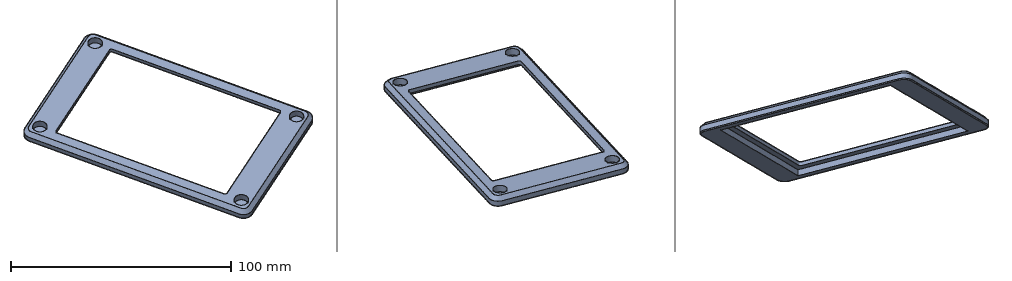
import cadquery as cq

length = 115.0
width = 70.0
thickness = 5.0
corner_radius = 4.5
top_chamfer = 2.0
bottom_chamfer = 0.5

window_length = 86.5
window_width = 57.0
window_corner_radius = 1.0

lip_thickness = 2.0
lip_overhang = 3.1

recess_diameter = 6.5
recess_depth = 3.5
recess_edge_distance = 6.5


def rounded_plate():
    """Plate with rounded corners and chamfered top and bottom rims."""
    plate = cq.Workplane("XY").box(length, width, thickness, centered=(True, True, False))
    plate = plate.edges("|Z").fillet(corner_radius)
    plate = plate.faces(">Z").edges().chamfer(top_chamfer)
    return plate.faces("<Z").edges().chamfer(bottom_chamfer)


def window():
    """Rounded rectangular opening through the full thickness."""
    opening = cq.Workplane("XY").box(
        window_length, window_width, thickness, centered=(True, True, False)
    )
    return opening.edges("|Z").fillet(window_corner_radius)


def underside_pocket():
    """Rectangular pocket sunk from the bottom face, wider than the window all round."""
    return cq.Workplane("XY").box(
        window_length + 2 * lip_overhang,
        window_width + 2 * lip_overhang,
        thickness - lip_thickness,
        centered=(True, True, False),
    )


def corner_recesses():
    """Four flat-bottomed round recesses sunk from the top face."""
    spacing_x = length - 2 * recess_edge_distance
    spacing_y = width - 2 * recess_edge_distance
    return (
        cq.Workplane("XY")
        .workplane(offset=thickness - recess_depth)
        .rarray(spacing_x, spacing_y, 2, 2)
        .circle(recess_diameter / 2)
        .extrude(recess_depth)
    )


result = rounded_plate().cut(window()).cut(underside_pocket()).cut(corner_recesses())